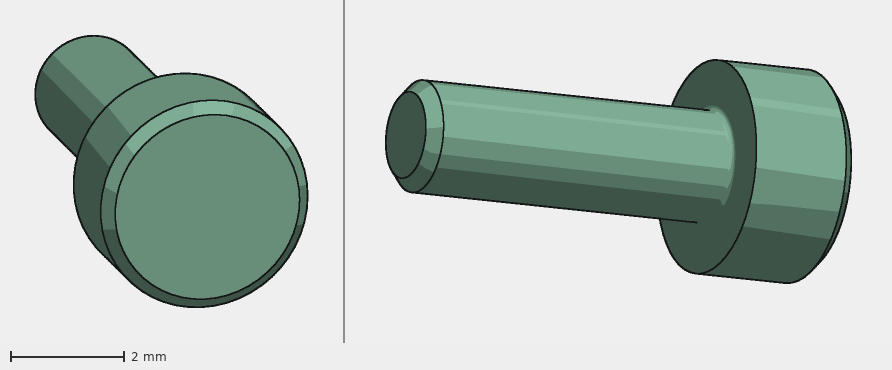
import cadquery as cq

total_length = 8.0
head_length = 2.0
head_diameter = 3.8
shank_diameter = 2.0
tip_chamfer = 0.23
head_chamfer = 0.21
neck_fillet = 0.1

shank_length = total_length - head_length
head_radius = head_diameter / 2
shank_radius = shank_diameter / 2

half_profile = (
    cq.Workplane("XY")
    .moveTo(-shank_length, 0)
    .lineTo(-shank_length, shank_radius - tip_chamfer)
    .lineTo(-shank_length + tip_chamfer, shank_radius)
    .lineTo(-neck_fillet, shank_radius)
    .radiusArc((0, shank_radius + neck_fillet), -neck_fillet)
    .lineTo(0, head_radius)
    .lineTo(head_length - head_chamfer, head_radius)
    .lineTo(head_length, head_radius - head_chamfer)
    .lineTo(head_length, 0)
    .close()
)

result = half_profile.revolve(360, (0, 0, 0), (1, 0, 0))